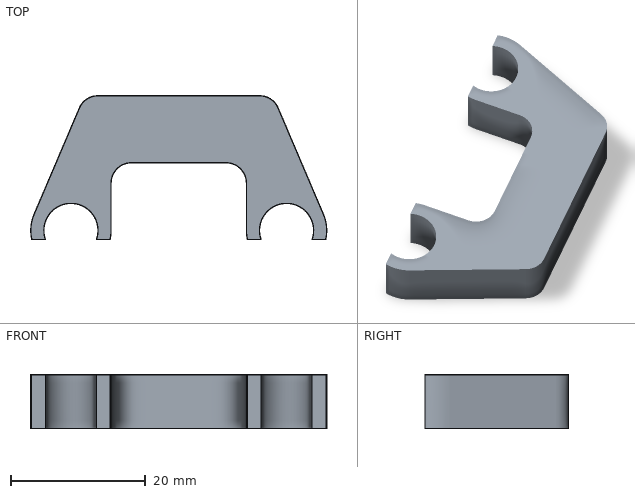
import cadquery as cq
import math

thickness = 8.0
clip_offset = 16.0
clip_radius = 6.0
bore_radius = 4.0
lip_drop = 1.35
corner_offset = 12.0
corner_height = 17.0
corner_radius = 3.0
bridge_depth = 10.0
opening_radius = 3.0

back_y = corner_height + corner_radius
opening_y = back_y - bridge_depth
opening_half = clip_offset - clip_radius
lip_reach = math.sqrt(clip_radius**2 - lip_drop**2)

run = clip_offset - corner_offset
center_distance = math.hypot(run, corner_height)
side_angle = math.atan2(run, corner_height) + math.asin((clip_radius - corner_radius) / center_distance)


def on_circle(center_x, center_y, radius, angle):
    """Point on a circle at an angle in radians."""
    return center_x + radius * math.cos(angle), center_y + radius * math.sin(angle)


def half_body():
    """The +X half of the bracket, without the clip bore."""
    side_bottom = on_circle(clip_offset, 0, clip_radius, side_angle)
    side_top = on_circle(corner_offset, corner_height, corner_radius, side_angle)
    corner_middle = on_circle(
        corner_offset, corner_height, corner_radius, (side_angle + math.pi / 2) / 2
    )
    opening_middle = on_circle(
        opening_half - opening_radius, opening_y - opening_radius, opening_radius, math.pi / 4
    )
    lip_middle_angle = math.pi + math.asin(lip_drop / clip_radius) / 2
    return (
        cq.Workplane("XY")
        .moveTo(0, opening_y)
        .lineTo(0, back_y)
        .lineTo(corner_offset, back_y)
        .threePointArc(corner_middle, side_top)
        .lineTo(*side_bottom)
        .threePointArc((clip_offset + clip_radius, 0), (clip_offset + lip_reach, -lip_drop))
        .lineTo(clip_offset - lip_reach, -lip_drop)
        .threePointArc(on_circle(clip_offset, 0, clip_radius, lip_middle_angle), (opening_half, 0))
        .lineTo(opening_half, opening_y - opening_radius)
        .threePointArc(opening_middle, (opening_half - opening_radius, opening_y))
        .close()
        .extrude(thickness)
    )


bore = cq.Workplane("XY").center(clip_offset, 0).circle(bore_radius).extrude(thickness)
half = half_body().cut(bore)
result = half.union(half.mirror("YZ")).clean()